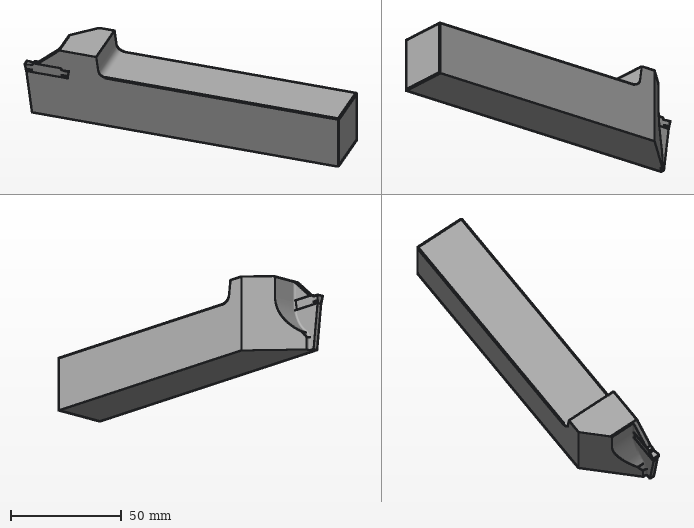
import cadquery as cq
import math


total_length = 150.0
shank_size = 25.0
head_height = 35.0
head_front_x = 16.4
head_rear_x = 34.0
neck_foot_x = 35.4
neck_radius = 3.5
shank_chamfer = 0.5
flank_offset = 1.6

blade_thickness = 2.2
blade_foot_x = 3.3
jaw_tip_x = 5.8

relief_wall_x = 15.9
relief_radius = 20.0
relief_arc_top_z = 24.9
relief_arc_end_z = 8.7
relief_nose_x = 5.8
relief_nose_z = 6.0
relief_fillet = 0.9

insert_length = 21.0
insert_bottom_z = 21.2
insert_top_z = 25.8
cutting_edge_z = 24.9
end_relief = 0.6
edge_land = 3.5
edge_rise = 0.6
cutting_head_bottom_z = 22.4
cutting_head_overhang = 0.5
cutting_head_base_overhang = 0.2
cutting_head_flat = 1.0
cutting_head_length = 3.5

clearance = 7.5


def shank_edge_cutter(edge_y, inward):
    """Wedge that chamfers one long top edge of the shank, from the neck to the end."""
    neck_lean = math.atan2(neck_foot_x - head_rear_x, head_height - shank_size)
    start_x = neck_foot_x + neck_radius * math.tan((math.pi / 2 - neck_lean) / 2)
    return (
        cq.Workplane("YZ", origin=(start_x, 0, 0))
        .polyline([
            (edge_y, shank_size),
            (edge_y + inward * shank_chamfer, shank_size),
            (edge_y, shank_size - shank_chamfer),
        ])
        .close()
        .extrude(total_length - start_x)
    )


def holder_blank():
    """Side outline of the holder, extruded over the full shank width."""
    outline = (
        cq.Workplane("XZ")
        .moveTo(blade_foot_x, 0)
        .lineTo(total_length, 0)
        .lineTo(total_length, shank_size)
        .lineTo(neck_foot_x, shank_size)
        .lineTo(head_rear_x, head_height)
        .lineTo(head_front_x, head_height)
        .lineTo(jaw_tip_x, insert_top_z)
        .lineTo(jaw_tip_x, insert_bottom_z)
        .lineTo(end_relief, insert_bottom_z)
        .close()
    )
    blank = outline.extrude(-shank_size)
    neck_corner = cq.selectors.NearestToPointSelector((neck_foot_x, shank_size / 2, shank_size))
    blank = blank.edges(neck_corner).fillet(neck_radius)
    blank = blank.faces(">X").edges().chamfer(shank_chamfer)
    return blank.cut(shank_edge_cutter(0, 1)).cut(shank_edge_cutter(shank_size, -1))


def flank_cutter():
    """Prism that removes everything in front of the 45 degree flank, behind the blade."""
    back_y = shank_size + clearance
    return (
        cq.Workplane("XY")
        .moveTo(blade_thickness + flank_offset, blade_thickness)
        .lineTo(back_y + flank_offset, back_y)
        .lineTo(-clearance, back_y)
        .lineTo(-clearance, blade_thickness)
        .close()
        .extrude(head_height)
    )


def relief_cutter():
    """Curved clearance behind the blade, rounded where it meets the blade."""
    arc_center_x = relief_wall_x - relief_radius

    def arc_x(z):
        return arc_center_x + math.sqrt(relief_radius**2 - (relief_arc_top_z - z) ** 2)

    arc_middle_z = (relief_arc_top_z + relief_arc_end_z) / 2
    cutter = (
        cq.Workplane("XZ", origin=(0, blade_thickness, 0))
        .moveTo(relief_wall_x, head_height + clearance)
        .lineTo(relief_wall_x, relief_arc_top_z)
        .threePointArc((arc_x(arc_middle_z), arc_middle_z), (arc_x(relief_arc_end_z), relief_arc_end_z))
        .lineTo(relief_nose_x, relief_nose_z)
        .lineTo(relief_nose_x, -clearance)
        .lineTo(-clearance, -clearance)
        .lineTo(-clearance, head_height + clearance)
        .close()
        .extrude(-shank_size)
    )
    return cutter.faces("<Y").edges().fillet(relief_fillet)


def insert_body():
    """Bar of the insert, with lowered cutting ends, as thick as the blade."""
    rear_x = insert_length
    rise_end = edge_land + edge_rise
    return (
        cq.Workplane("XZ")
        .polyline([
            (end_relief, insert_bottom_z),
            (rear_x - end_relief, insert_bottom_z),
            (rear_x, cutting_edge_z),
            (rear_x - edge_land, cutting_edge_z),
            (rear_x - rise_end, insert_top_z),
            (rise_end, insert_top_z),
            (edge_land, cutting_edge_z),
            (0, cutting_edge_z),
        ])
        .close()
        .extrude(-blade_thickness)
    )


def head_outline(overhang):
    """Corners of a cutting head seen from above: full width at the edge, tapering to the bar."""
    outer_y = -overhang
    inner_y = blade_thickness + overhang
    return [
        (0, outer_y),
        (cutting_head_flat, outer_y),
        (cutting_head_length, 0),
        (cutting_head_length, blade_thickness),
        (cutting_head_flat, inner_y),
        (0, inner_y),
    ]


def cutting_head():
    """Widened front end of the insert, narrowing slightly downward."""
    outer_y = -cutting_head_overhang
    inner_y = blade_thickness + cutting_head_overhang
    head = (
        cq.Workplane("XY", origin=(0, 0, cutting_head_bottom_z))
        .polyline(head_outline(cutting_head_base_overhang))
        .close()
        .workplane(offset=cutting_edge_z - cutting_head_bottom_z)
        .polyline(head_outline(cutting_head_overhang))
        .close()
        .loft(ruled=True)
    )
    front_wedge = (
        cq.Workplane("XZ", origin=(0, outer_y, 0))
        .polyline([(0, cutting_edge_z), (end_relief, insert_bottom_z), (0, insert_bottom_z)])
        .close()
        .extrude(outer_y - inner_y)
    )
    return head.cut(front_wedge)


def make_insert():
    front_head = cutting_head()
    rear_head = front_head.mirror("YZ").translate((insert_length, 0, 0))
    return insert_body().union(front_head).union(rear_head)


def make_holder(insert):
    """Holder with a pocket that matches the insert."""
    return holder_blank().cut(flank_cutter()).cut(relief_cutter()).cut(insert)


insert = make_insert()
holder = make_holder(insert)

result = cq.Compound.makeCompound([holder.val(), insert.val()])